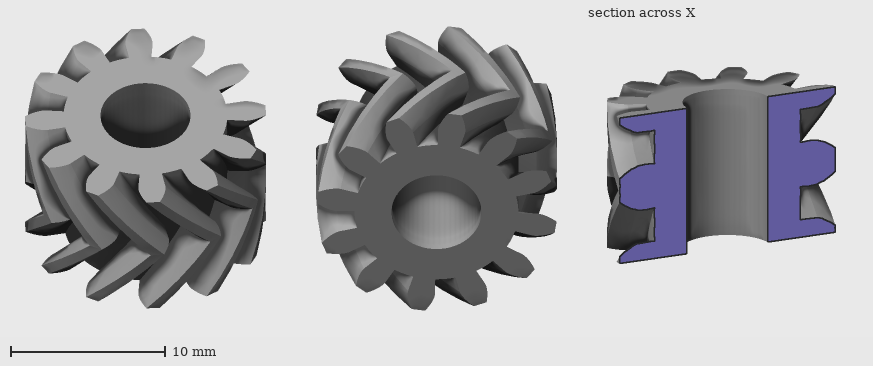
import cadquery as cq
import math

tooth_count = 12
outer_diameter = 15.66
face_width = 9.9
bore_diameter = 5.84
pressure_angle = math.radians(14.5)
half_twist = 32.0
clearance_factor = 0.25
flank_points = 6

module = outer_diameter / (tooth_count + 2)
tip_radius = outer_diameter / 2
pitch_radius = module * tooth_count / 2
base_radius = pitch_radius * math.cos(pressure_angle)
root_radius = pitch_radius - (1 + clearance_factor) * module
half_width = face_width / 2
tooth_pitch = 2 * math.pi / tooth_count


def involute(angle):
    return math.tan(angle) - angle


base_half_angle = tooth_pitch / 4 + involute(pressure_angle)
tip_pressure_angle = math.acos(base_radius / tip_radius)
tip_half_angle = base_half_angle - involute(tip_pressure_angle)


def polar(radius, angle):
    return (radius * math.cos(angle), radius * math.sin(angle))


def flank(center, side):
    """Involute points from base circle to tip; side is -1 or +1 about the tooth center."""
    roll_step = math.tan(tip_pressure_angle) / (flank_points - 1)
    points = []
    for i in range(flank_points):
        angle = math.atan(i * roll_step)
        half_angle = base_half_angle - involute(angle)
        points.append(polar(base_radius / math.cos(angle), center + side * half_angle))
    return points


def gear_outline():
    """Closed tooth outline: radial root walls, involute flanks, round tips and root floors."""
    outline = cq.Workplane("XY").moveTo(*polar(root_radius, -base_half_angle))
    for tooth in range(tooth_count):
        center = tooth * tooth_pitch
        rising = flank(center, -1)
        falling = flank(center, 1)[::-1]
        outline = outline.lineTo(*rising[0])
        outline = outline.spline(rising[1:], includeCurrent=True)
        outline = outline.threePointArc(polar(tip_radius, center), falling[0])
        outline = outline.spline(falling[1:], includeCurrent=True)
        outline = outline.lineTo(*polar(root_radius, center + base_half_angle))
        gap_middle = polar(root_radius, center + tooth_pitch / 2)
        gap_end = polar(root_radius, center + tooth_pitch - base_half_angle)
        outline = outline.threePointArc(gap_middle, gap_end)
    return outline.close()


lower_half = gear_outline().twistExtrude(half_width, half_twist)
upper_half = lower_half.mirror("XY", (0, 0, half_width))
gear = lower_half.union(upper_half)

bore = cq.Workplane("XY").circle(bore_diameter / 2).extrude(face_width)
result = gear.cut(bore)